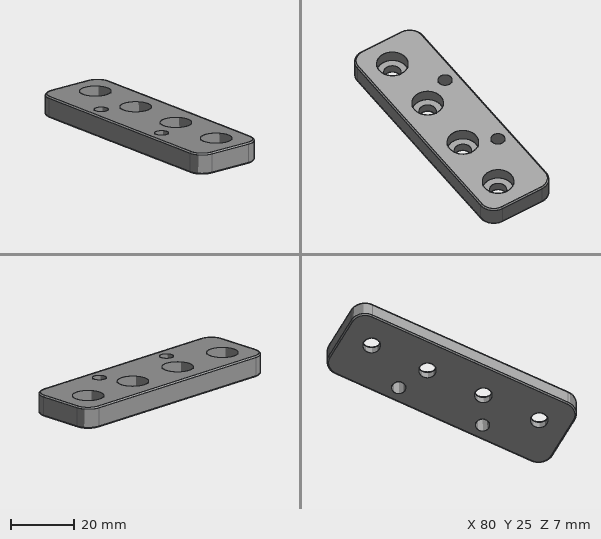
import cadquery as cq

length = 80.0
width = 25.0
thickness = 7.0
corner_radius = 5.0
edge_chamfer = 0.5

screw_count = 4
screw_pitch = length / screw_count
screw_row_y = 2.5
screw_diameter = 5.5
counterbore_diameter = 10.0
counterbore_depth = 4.0

pin_spacing = 30.0
pin_row_y = -7.5
pin_diameter = 4.5


def rounded_plate():
    """Plate centred on the origin with rounded corners and chamfered rims."""
    plate = cq.Workplane("XY").box(length, width, thickness)
    plate = plate.edges("|Z").fillet(corner_radius)
    return plate.faces("<Z or >Z").edges().chamfer(edge_chamfer)


def row_points(count, pitch, y):
    """Evenly spaced points along X, centred on the plate."""
    return [((i - (count - 1) / 2) * pitch, y) for i in range(count)]


top_plane = cq.Workplane("XY", origin=(0, 0, thickness / 2))

screw_holes = (
    top_plane.pushPoints(row_points(screw_count, screw_pitch, screw_row_y))
    .circle(screw_diameter / 2)
    .extrude(-thickness)
)
counterbores = (
    top_plane.pushPoints(row_points(screw_count, screw_pitch, screw_row_y))
    .circle(counterbore_diameter / 2)
    .extrude(-counterbore_depth)
)
pin_holes = (
    top_plane.pushPoints(row_points(2, pin_spacing, pin_row_y))
    .circle(pin_diameter / 2)
    .extrude(-thickness)
)

result = rounded_plate().cut(screw_holes).cut(counterbores).cut(pin_holes)